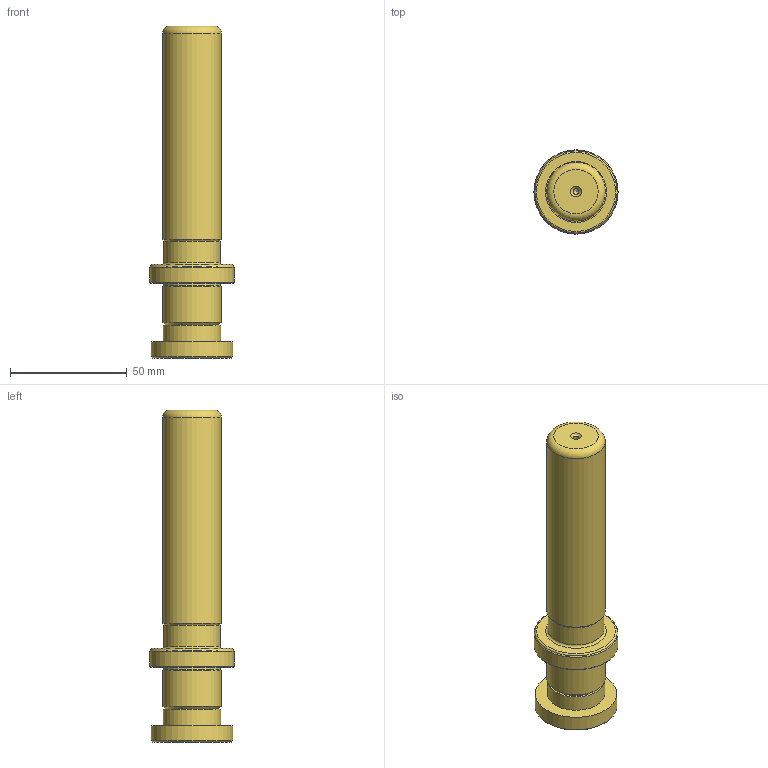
import cadquery as cq
import math

total_height = 142.0
seat_level = 14.0
collar_bottom = 32.0
collar_height = 8.0
neck_top = 50.0

foot_disc_radius = 17.5
foot_disc_height = 7.0
foot_chamfer = 0.5
spigot_radius = 12.25

pillar_radius = 12.5
pillar_end_fillet = 3.0
neck_radius = 12.0
neck_step_height = 0.7
neck_root_fillet = 1.0
undercut_height = 1.0
undercut_step_height = 0.4
tail_chamfer_height = 1.2
tail_chamfer_width = 1.2

collar_radius = 18.0
collar_top_fillet = 0.7
collar_top_bevel_width = 0.4
collar_top_bevel_height = 0.5
collar_bottom_chamfer = 0.4

centre_pilot_radius = 1.25
centre_mouth_radius = 2.3
centre_cone_half_angle = 45.0
centre_pilot_length = 3.0
drill_tip_half_angle = 60.0


def make_foot():
    """Disc with a chamfered bottom edge and a spigot that carries the pillar."""
    disc = (
        cq.Workplane("XY")
        .circle(foot_disc_radius)
        .extrude(foot_disc_height)
        .faces("<Z")
        .chamfer(foot_chamfer)
    )
    return disc.faces(">Z").workplane().circle(spigot_radius).extrude(seat_level - foot_disc_height)


def make_pillar_blank():
    """Revolved pillar with its tapered tail, collar, undercut, neck and rounded end."""
    collar_top = collar_bottom + collar_height
    collar_rim_radius = collar_radius - collar_top_bevel_width
    undercut_bottom = collar_bottom - undercut_height
    round_end_start = total_height - pillar_end_fillet
    return (
        cq.Workplane("XZ")
        .moveTo(0, seat_level)
        .lineTo(pillar_radius - tail_chamfer_width, seat_level)
        .lineTo(pillar_radius, seat_level + tail_chamfer_height)
        .lineTo(pillar_radius, undercut_bottom - undercut_step_height)
        .lineTo(neck_radius, undercut_bottom)
        .lineTo(neck_radius, collar_bottom)
        .lineTo(collar_radius - collar_bottom_chamfer, collar_bottom)
        .lineTo(collar_radius, collar_bottom + collar_bottom_chamfer)
        .lineTo(collar_radius, collar_top - collar_top_fillet - collar_top_bevel_height)
        .lineTo(collar_rim_radius, collar_top - collar_top_fillet)
        .radiusArc((collar_rim_radius - collar_top_fillet, collar_top), -collar_top_fillet)
        .lineTo(neck_radius + neck_root_fillet, collar_top)
        .radiusArc((neck_radius, collar_top + neck_root_fillet), neck_root_fillet)
        .lineTo(neck_radius, neck_top)
        .lineTo(pillar_radius, neck_top + neck_step_height)
        .lineTo(pillar_radius, round_end_start)
        .radiusArc((pillar_radius - pillar_end_fillet, total_height), -pillar_end_fillet)
        .lineTo(0, total_height)
        .close()
        .revolve(360, (0, 0), (0, 1))
    )


def make_centre_hole():
    """Centre drill shape: conical mouth, pilot bore and pointed bottom."""
    cone_angle = math.radians(centre_cone_half_angle)
    tip_angle = math.radians(drill_tip_half_angle)
    cone_end = total_height - (centre_mouth_radius - centre_pilot_radius) / math.tan(cone_angle)
    pilot_end = cone_end - centre_pilot_length
    tip = pilot_end - centre_pilot_radius / math.tan(tip_angle)
    return (
        cq.Workplane("XZ")
        .moveTo(0, total_height)
        .lineTo(centre_mouth_radius, total_height)
        .lineTo(centre_pilot_radius, cone_end)
        .lineTo(centre_pilot_radius, pilot_end)
        .lineTo(0, tip)
        .close()
        .revolve(360, (0, 0), (0, 1))
    )


foot = make_foot()
pillar = make_pillar_blank().cut(make_centre_hole())

result = cq.Compound.makeCompound([foot.val(), pillar.val()])